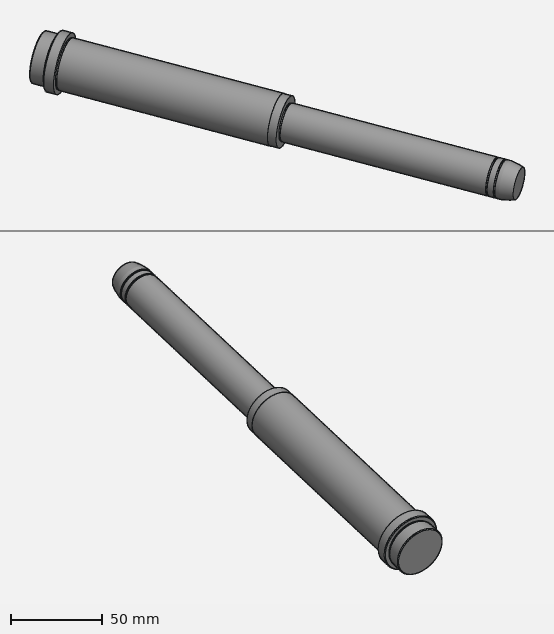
import cadquery as cq

flange_diameter = 35.0
body_diameter = 30.0
land_diameter = 29.7
shank_diameter = 22.0
tip_diameter = 18.5

length = 280.0
spigot_length = 9.0
flange_length = 6.2
land_length = 5.0
shank_length = 136.0
tip_length = 7.5

spigot_chamfer = 0.5
flange_chamfer = 0.48

tip_bulge = 0.3

groove_width = 0.8
groove_depth = 0.3
tip_groove_distances = (15.5, 11.0)

end_x = length / 2
start_x = end_x - length
flange_x = start_x + spigot_length
body_x = flange_x + flange_length
shank_x = end_x - shank_length
land_x = shank_x - land_length
tip_x = end_x - tip_length


def cylinder(x, diameter, span):
    """Solid cylinder along +X, starting at x."""
    return cq.Workplane("YZ", origin=(x, 0, 0)).circle(diameter / 2).extrude(span)


def rounded_tip():
    """Nose that narrows along a bulging arc from the shank to the end face."""
    shank_radius = shank_diameter / 2
    tip_radius = tip_diameter / 2
    mid_radius = (shank_radius + tip_radius) / 2 + tip_bulge
    return (
        cq.Workplane("XY")
        .moveTo(tip_x, 0)
        .lineTo(tip_x, shank_radius)
        .threePointArc(((tip_x + end_x) / 2, mid_radius), (end_x, tip_radius))
        .lineTo(end_x, 0)
        .close()
        .revolve(360, (0, 0, 0), (1, 0, 0))
    )


def ring_groove(x, outer_diameter):
    """Ring to remove from a cylinder of the given diameter, starting at x."""
    core = cylinder(x, outer_diameter - 2 * groove_depth, groove_width)
    return cylinder(x, flange_diameter, groove_width).cut(core)


spigot = cylinder(start_x, body_diameter, spigot_length).faces("<X").chamfer(spigot_chamfer)
flange = cylinder(flange_x, flange_diameter, flange_length).faces("<X").chamfer(flange_chamfer)

body = cylinder(body_x, body_diameter, land_x - body_x)
land = cylinder(land_x, land_diameter, land_length)

shank = cylinder(shank_x, shank_diameter, tip_x - shank_x)

result = spigot
for section in (flange, body, land, shank, rounded_tip()):
    result = result.union(section)

result = result.cut(ring_groove(flange_x - groove_width, body_diameter))
result = result.cut(ring_groove(body_x, body_diameter))
result = result.cut(ring_groove(shank_x, shank_diameter))

for distance in tip_groove_distances:
    result = result.cut(ring_groove(end_x - distance, shank_diameter))